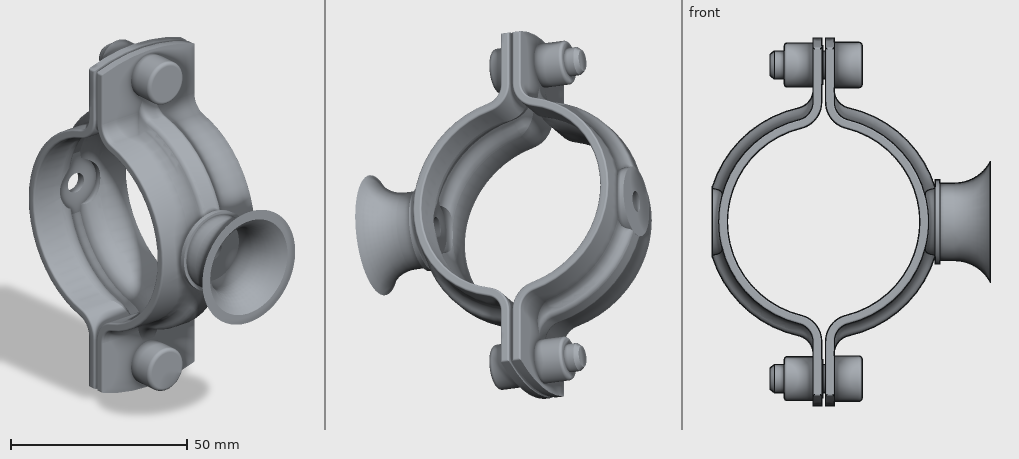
import cadquery as cq
import math

width = 34.4
sheet = 2.5
band_radius = 29.8
ear_inner_x = 0.5
ear_outer_x = ear_inner_x + sheet
ear_tip_radius = 52.2
bend_radius = 5.2
edge_round = 0.5

rib_height = 3.3
rib_flat_half = 2.1
rib_turn_half = 3.7
rib_root_depth = 4.4
rib_foot_half = 7.1

boss_face_x = 31.7
boss_diameter = 20.0
hole_diameter = 6.0

screw_z = 44.5
screw_diameter = 8.0
screw_tip_diameter = 6.1
screw_tip_x = -15.3
screw_tip_length = 1.3
nut_diameter = 12.5
nut_end_x = -11.2
nut_round = 0.8
nut_spigot_diameter = 11.0
nut_spigot_x = -0.2
head_diameter = 13.0
head_end_x = 11.0
head_round = 1.0

collar_diameter = 24.0
collar_length = 1.4
socket_diameter = 22.0
bore_diameter = 18.9
flare_start_x = 37.2
flare_end_x = 47.3
flare_diameter = width

flank_angle = 2 * math.atan2(rib_height, rib_foot_half - rib_flat_half)
crest_round = (rib_turn_half - rib_flat_half) / math.sin(flank_angle)
foot_round = (rib_foot_half - rib_turn_half) / math.sin(flank_angle)


def bend_centre(ring_radius, ear_x, bend):
    """X and Z of the bend that touches both the ring and the ear face."""
    x = ear_x + bend
    return x, math.sqrt((ring_radius + bend) ** 2 - x ** 2)


def skin_path(start, ring_radius, ear_x, bend):
    """Continue start from the lower ear, round the ring, to the upper ear."""
    centre_x, centre_z = bend_centre(ring_radius, ear_x, bend)
    reach = ring_radius / (ring_radius + bend)
    ring_x, ring_z = centre_x * reach, centre_z * reach
    half_turn = (math.pi + math.atan2(centre_z, centre_x) + math.pi) / 2
    mid_x = centre_x + bend * math.cos(half_turn)
    mid_z = centre_z + bend * math.sin(half_turn)
    return (
        start.lineTo(ear_x, -centre_z)
        .threePointArc((mid_x, -mid_z), (ring_x, -ring_z))
        .threePointArc((ring_radius, 0), (ring_x, ring_z))
        .threePointArc((mid_x, mid_z), (ear_x, centre_z))
        .lineTo(ear_x, ear_tip_radius)
    )


def band_blank(inset):
    """Everything inside the band skin of one half, the skin drawn in by inset."""
    start = cq.Workplane("XZ").moveTo(0, -ear_tip_radius).lineTo(ear_outer_x - inset, -ear_tip_radius)
    outline = skin_path(start, band_radius - inset, ear_outer_x - inset, bend_radius + inset)
    return outline.lineTo(0, ear_tip_radius).close().extrude(width / 2, both=True)


def rib_blank(inset):
    """The rib under its skin, drawn in by inset: one cross-section swept along the crest."""
    crest_radius = band_radius + rib_height - inset
    ear_x = ear_outer_x - inset
    start = cq.Workplane("XZ").moveTo(ear_x, -ear_tip_radius)
    path = skin_path(start, crest_radius, ear_x, bend_radius + inset)

    foot_radius = foot_round + inset
    foot_centre_depth = rib_height - foot_round - inset
    if inset < crest_round:
        turn = (rib_turn_half, crest_round * (1 - math.cos(flank_angle)))
    else:
        turn = (rib_foot_half - math.sqrt(foot_radius ** 2 - foot_centre_depth ** 2), 0)
    half_angle = math.atan2(rib_foot_half - turn[0], turn[1] - foot_centre_depth) / 2
    foot_mid = (
        rib_foot_half - foot_radius * math.sin(half_angle),
        foot_centre_depth + foot_radius * math.cos(half_angle),
    )
    crest_mid = (
        rib_flat_half + crest_round * math.sin(flank_angle / 2),
        crest_round * (1 - math.cos(flank_angle / 2)),
    )

    plane = cq.Plane(origin=(ear_x, 0, -ear_tip_radius), xDir=(0, 1, 0), normal=(0, 0, 1))
    section = cq.Workplane(plane).moveTo(0, 0)
    if inset < crest_round:
        section = section.lineTo(rib_flat_half, 0).threePointArc(crest_mid, turn)
    else:
        section = section.lineTo(*turn)
    section = (
        section.threePointArc(foot_mid, (rib_foot_half, rib_height))
        .lineTo(rib_foot_half, rib_root_depth)
        .lineTo(0, rib_root_depth)
        .mirrorY()
    )
    return section.sweep(path)


def x_cylinder(diameter, x_start, x_end, z=0):
    return cq.Workplane("YZ", origin=(x_start, 0, z)).circle(diameter / 2).extrude(x_end - x_start)


def pressed_blank(inset):
    """Everything inside the skin of one half with its rib and boss, the skin drawn in by inset."""
    face_x = boss_face_x - inset
    flattened = x_cylinder(boss_diameter, face_x, face_x + 2 * rib_height)
    boss = x_cylinder(boss_diameter - 2 * inset, 0, face_x)
    return band_blank(inset).union(rib_blank(inset)).cut(flattened).union(boss)


def clamp_half():
    """The +X half of the sheet-metal clamp."""
    tips = x_cylinder(2 * ear_tip_radius, 0, ear_tip_radius)
    room = cq.Workplane("YZ", origin=(ear_inner_x, 0, 0)).rect(width, 2 * ear_tip_radius).extrude(ear_tip_radius)
    half = pressed_blank(0).cut(pressed_blank(sheet)).intersect(tips).intersect(room)
    rims = half.faces("<Y or >Y").edges()
    half = rims.fillet(edge_round)
    return half.cut(x_cylinder(hole_diameter, 0, ear_tip_radius))


def screw(z):
    """A screw with its head on the +X ear and its nut on the -X ear."""
    shank = x_cylinder(screw_diameter, screw_tip_x, head_end_x, z)
    tip_step = (screw_diameter - screw_tip_diameter) / 2
    shank = shank.faces("<X").chamfer(screw_tip_length, tip_step)
    nut = x_cylinder(nut_diameter, nut_end_x, -ear_outer_x, z).faces("<X").edges().fillet(nut_round)
    spigot = x_cylinder(nut_spigot_diameter, -ear_outer_x, nut_spigot_x, z)
    head = x_cylinder(head_diameter, ear_outer_x, head_end_x, z).faces(">X").edges().fillet(head_round)
    return shank.union(nut).union(spigot).union(head)


def clamp_body():
    """Both halves held together by the two screws."""
    half = clamp_half()
    clamp = half.union(half.mirror("YZ"))
    for side in (-1, 1):
        clamp = clamp.union(screw(side * screw_z))
    return clamp


def socket_body():
    """Collar, neck and flare turned about X as one hollow wall, open towards +X."""
    outer_radius = socket_diameter / 2
    inner_radius = bore_diameter / 2
    flare_length = flare_end_x - flare_start_x
    flare_rise = flare_diameter / 2 - outer_radius
    flare_round = (flare_length ** 2 + flare_rise ** 2) / (2 * flare_rise)
    flare_centre = outer_radius + flare_round

    def flare_point(arc_radius, angle):
        return flare_start_x + arc_radius * math.sin(angle), flare_centre - arc_radius * math.cos(angle)

    inner_round = flare_centre - inner_radius
    outer_angle = math.asin(flare_length / flare_round)
    inner_angle = math.asin(flare_length / inner_round)
    collar_end_x = boss_face_x + collar_length
    return (
        cq.Workplane("XY")
        .moveTo(boss_face_x, inner_radius)
        .lineTo(boss_face_x, collar_diameter / 2)
        .lineTo(collar_end_x, collar_diameter / 2)
        .lineTo(collar_end_x, outer_radius)
        .lineTo(flare_start_x, outer_radius)
        .threePointArc(flare_point(flare_round, outer_angle / 2), flare_point(flare_round, outer_angle))
        .lineTo(*flare_point(inner_round, inner_angle))
        .threePointArc(flare_point(inner_round, inner_angle / 2), (flare_start_x, inner_radius))
        .close()
        .revolve(360, (0, 0, 0), (1, 0, 0))
    )


clamp = clamp_body()
socket = socket_body()
result = cq.Compound.makeCompound([clamp.val(), socket.val()])